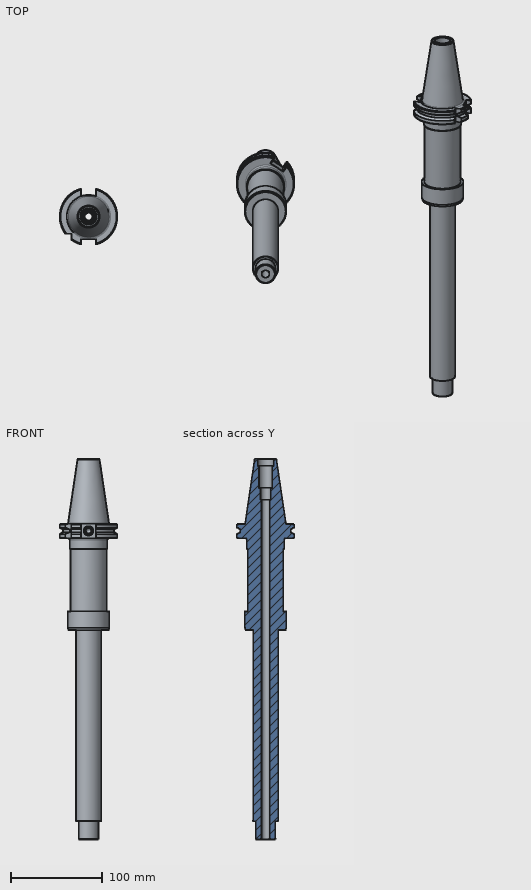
import cadquery as cq
import math

overall_length = 417.75

gauge_diameter = 44.45
taper_length = 68.4
taper_ratio = 7 / 24
taper_end_diameter = gauge_diameter - taper_length * taper_ratio
end_chamfer = 1.0

flange_diameter = 63.35
flange_top = -3.2
taper_base_diameter = gauge_diameter - flange_top * taper_ratio
flange_bottom = -19.1
rim_chamfer = 1.0
flange_root_fillet = 1.4
groove_center = -10.75
groove_floor_diameter = 56.25
groove_floor_width = 3.0
groove_flank_angle = 30

slot_width = 16.1
slot_edge_chamfer = 0.5
back_slot_floor = 22.8
front_slot_floor = 25.0

notch_distance = 18.9

recess_diameter = 8.35
recess_rim_diameter = 10.5
recess_depth = 4.0
recess_pilot_diameter = 6.0
recess_tip_angle = 118

neck_diameter = 41.6
neck_bottom = -31.2
neck_chamfer = 1.0
body_diameter = 40.0
collar_diameter = 46.0
collar_top = -99.0
collar_bottom = -119.6
collar_chamfer_width = 1.0
collar_chamfer_height = 2.6
shaft_diameter = 28.0
tip_diameter = 22.0
tip_length = 20.0
tip_chamfer = 1.0
shaft_chamfer = 0.5
part_bottom = taper_length - overall_length
shaft_bottom = part_bottom + tip_length

mouth_diameter = 17.0
mouth_depth = 8.0
mouth_chamfer = 0.5
thread_diameter = 13.84
thread_depth = 32.0
relief_diameter = 10.5
relief_depth = 45.0
coolant_diameter = 8.38


def circle_selector(diameter, height):
    """Box around the flange face circle of this diameter, too small for the larger circles."""
    reach = diameter / 2 + flange_root_fillet
    margin = flange_root_fillet / 2
    return cq.selectors.BoxSelector(
        (-reach, -reach, height - margin),
        (reach, reach, height + margin),
        boundingbox=True,
    )


def turned_blank():
    """Revolve the solid outer profile about Z."""
    flange_radius = flange_diameter / 2
    floor_radius = groove_floor_diameter / 2
    half_floor = groove_floor_width / 2
    flank_rise = (flange_radius - floor_radius) * math.tan(math.radians(groove_flank_angle))
    half_mouth = half_floor + flank_rise
    profile = [
        (0, taper_length),
        (taper_end_diameter / 2 - end_chamfer, taper_length),
        (taper_end_diameter / 2, taper_length - end_chamfer),
        (taper_base_diameter / 2, flange_top),
        (flange_radius - rim_chamfer, flange_top),
        (flange_radius, flange_top - rim_chamfer),
        (flange_radius, groove_center + half_mouth),
        (floor_radius, groove_center + half_floor),
        (floor_radius, groove_center - half_floor),
        (flange_radius, groove_center - half_mouth),
        (flange_radius, flange_bottom + rim_chamfer),
        (flange_radius - rim_chamfer, flange_bottom),
        (neck_diameter / 2, flange_bottom),
        (neck_diameter / 2, neck_bottom + neck_chamfer),
        (body_diameter / 2, neck_bottom),
        (body_diameter / 2, collar_top),
        (collar_diameter / 2, collar_top),
        (collar_diameter / 2, collar_bottom + collar_chamfer_height),
        (collar_diameter / 2 - collar_chamfer_width, collar_bottom),
        (shaft_diameter / 2, collar_bottom),
        (shaft_diameter / 2, shaft_bottom + shaft_chamfer),
        (shaft_diameter / 2 - shaft_chamfer, shaft_bottom),
        (tip_diameter / 2, shaft_bottom),
        (tip_diameter / 2, part_bottom + tip_chamfer),
        (tip_diameter / 2 - tip_chamfer, part_bottom),
        (0, part_bottom),
    ]
    blank = cq.Workplane("XZ").polyline(profile).close().revolve(360, (0, 0), (0, 1))
    top_root = blank.edges(circle_selector(taper_base_diameter, flange_top))
    blank = top_root.fillet(flange_root_fillet)
    bottom_root = blank.edges(circle_selector(neck_diameter, flange_bottom))
    return bottom_root.fillet(flange_root_fillet)


def flange_prism(points):
    """Extrude an XY outline over the height of the flange."""
    outline = cq.Workplane("XY").workplane(offset=flange_bottom).polyline(points).close()
    return outline.extrude(flange_top - flange_bottom)


def drive_slot(side, floor):
    """Slot open toward side * Y, with chamfered edges on both flange faces and on the rim."""
    half_width = slot_width / 2
    half_flare = half_width + slot_edge_chamfer
    section = [
        (-half_flare, flange_bottom),
        (half_flare, flange_bottom),
        (half_width, flange_bottom + slot_edge_chamfer),
        (half_width, flange_top - slot_edge_chamfer),
        (half_flare, flange_top),
        (-half_flare, flange_top),
        (-half_width, flange_top - slot_edge_chamfer),
        (-half_width, flange_bottom + slot_edge_chamfer),
    ]
    start = cq.Workplane("XZ", origin=(0, side * floor, 0))
    channel = start.polyline(section).close().extrude(-side * flange_diameter)

    rim = math.sqrt((flange_diameter / 2) ** 2 - half_flare ** 2)
    rim_flare = flange_prism([
        (-half_width, side * (rim - slot_edge_chamfer)),
        (half_width, side * (rim - slot_edge_chamfer)),
        (half_flare, side * rim),
        (half_flare, side * flange_diameter),
        (-half_flare, side * flange_diameter),
        (-half_flare, side * rim),
    ])
    return channel.union(rim_flare)


def corner_notch():
    return flange_prism([
        (-notch_distance, -notch_distance),
        (-notch_distance, -flange_diameter),
        (-flange_diameter, -flange_diameter),
        (-flange_diameter, -notch_distance),
    ])


def slot_recess():
    """Revolve the recess about its axis, which runs along +Y from the slot floor."""
    radius = recess_diameter / 2
    rim_radius = recess_rim_diameter / 2
    pilot_radius = recess_pilot_diameter / 2
    tip_depth = pilot_radius / math.tan(math.radians(recess_tip_angle / 2))
    half_section = [
        (0, 0),
        (rim_radius, 0),
        (radius, rim_radius - radius),
        (radius, recess_depth),
        (pilot_radius, recess_depth),
        (0, recess_depth + tip_depth),
    ]
    plane = cq.Workplane("XY", origin=(0, -front_slot_floor, groove_center))
    return plane.polyline(half_section).close().revolve(360, (0, 0), (0, 1))


def bore(diameter, depth):
    """Cylinder sunk from the small end of the taper."""
    return cq.Workplane("XY", origin=(0, 0, taper_length)).circle(diameter / 2).extrude(-depth)


def mouth_countersink():
    """Conical lead-in at the bore mouth."""
    face = cq.Workplane("XY", origin=(0, 0, taper_length)).circle(mouth_diameter / 2 + mouth_chamfer)
    return face.workplane(offset=-mouth_chamfer).circle(mouth_diameter / 2).loft()


result = turned_blank()
result = result.cut(drive_slot(1, back_slot_floor))
result = result.cut(drive_slot(-1, front_slot_floor))
result = result.cut(corner_notch())
result = result.cut(slot_recess())
result = result.cut(bore(mouth_diameter, mouth_depth))
result = result.cut(mouth_countersink())
result = result.cut(bore(thread_diameter, thread_depth))
result = result.cut(bore(relief_diameter, relief_depth))
result = result.cut(bore(coolant_diameter, overall_length))